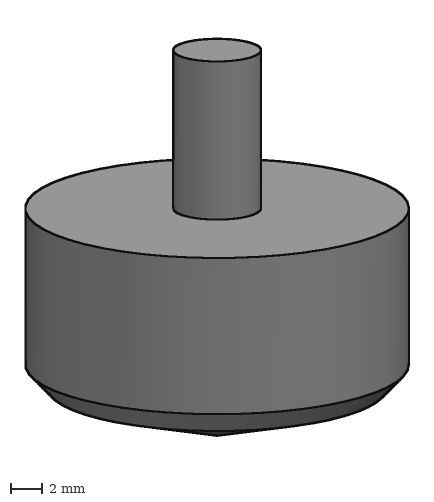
import cadquery as cq

total_height = 25.4
body_diameter = 24.4
pin_diameter = 5.6
pin_length = 10.41
cone_height = 3.23
bevel_height = 1.47
bevel_width = 1.37

body_radius = body_diameter / 2
pin_radius = pin_diameter / 2
cone_radius = body_radius - bevel_width
bevel_top = cone_height + bevel_height
body_top = total_height - pin_length

half_section = (
    cq.Workplane("XZ")
    .moveTo(0, 0)
    .lineTo(cone_radius, cone_height)
    .lineTo(body_radius, bevel_top)
    .lineTo(body_radius, body_top)
    .lineTo(pin_radius, body_top)
    .lineTo(pin_radius, total_height)
    .lineTo(0, total_height)
    .close()
)

result = half_section.revolve(360, (0, 0, 0), (0, 1, 0))